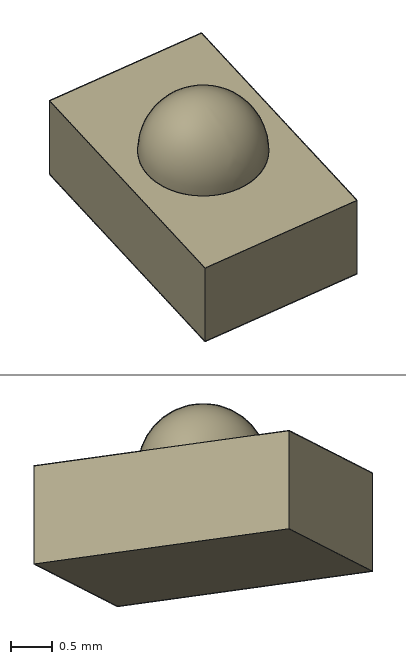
import cadquery as cq

base_length = 3.5
base_width = 2.2
total_height = 2.04

dome_diameter = 1.6
dome_radius = dome_diameter / 2
base_height = total_height - dome_radius

base = cq.Workplane("XY").box(base_length, base_width, base_height, centered=(True, True, False))

rim_to_apex_arc_radius = -dome_radius
dome = (
    cq.Workplane("XZ", origin=(0, 0, base_height))
    .lineTo(dome_radius, 0)
    .radiusArc((0, dome_radius), rim_to_apex_arc_radius)
    .close()
    .revolve(360, (0, 0, 0), (0, 1, 0))
)

result = base.union(dome)